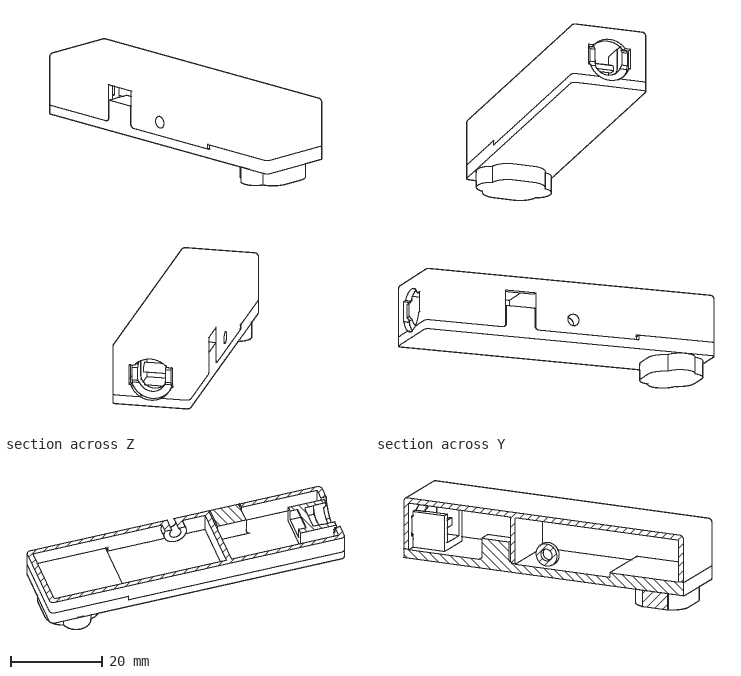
import cadquery as cq

LENGTH = 68.0
WIDTH = 17.5
HEIGHT = 13.9
EDGE_RADIUS = 0.95
WALL = 1.3

BASE_THICKNESS = 2.05
STEP_HEIGHT = 3.05
STEP_X = 50.05
STEP_GAP = 0.6

WINDOW_LEFT = 18.8
WINDOW_RIGHT = 25.85
WINDOW_TOP = 10.4
WINDOW_CORNER_RADIUS = 0.7
TONGUE_GAP = 0.2
TONGUE_TOP = 6.95
TONGUE_DEPTH = 5.45

LIGHT_X = 34.7
LIGHT_Z = 5.1
LIGHT_RADIUS = 1.3
LIGHT_BOSS_DEPTH = 3.4

JACK_Z = 6.2
JACK_OPENING_RADIUS = 4.75
JACK_SLOT_WIDTH = 9.8
JACK_SLOT_BOTTOM = 4.7
JACK_SLOT_TOP = 9.25

HOLDER_WIDTH = 8.8
HOLDER_TOP = 10.2
HOLDER_THICKNESS = 2.25
BORE_RADIUS = 3.1
CRADLE_LENGTH = 5.45
CRADLE_CHANNEL_WIDTH = 6.0
CRADLE_FLOOR = 3.7
CROSSBAR_BOTTOM = 5.9
CROSSBAR_TOP = 7.6
CROSSBAR_SETBACK = 2.05
RIDGE_HEIGHT = 0.6
RIDGE_SLOPE = 0.7
RIDGE_FACE_BOTTOM = 5.6
RIDGE_FACE_TOP = 8.5

FOOT_X = 61.0
FOOT_HEIGHT = 3.75
FOOT_SQUARE = 12.5
FOOT_CORNER_RADIUS = 3.95
FOOT_BAR_LENGTH = 17.15
FOOT_BAR_WIDTH = 6.5

FRONT_Y = -WIDTH / 2
HOLDER_BACK = WALL + HOLDER_THICKNESS


def box(x_min, x_max, y_min, y_max, z_min, z_max):
    """Box given by its limits along each axis."""
    size = (x_max - x_min, y_max - y_min, z_max - z_min)
    return cq.Workplane("XY").box(*size, centered=False).translate((x_min, y_min, z_min))


def centred_box(x_min, x_max, width, z_min, z_max):
    """Box that is symmetric about Y = 0."""
    return box(x_min, x_max, -width / 2, width / 2, z_min, z_max)


def rod_along_x(radius, x_min, x_max):
    """Cylinder on the jack axis."""
    plane = cq.Workplane("YZ", origin=(x_min, 0, JACK_Z))
    return plane.circle(radius).extrude(x_max - x_min)


def rod_into_side(radius, depth):
    """Cylinder on the light-hole axis, going inwards from the -Y face."""
    plane = cq.Workplane("XZ", origin=(0, FRONT_Y, 0))
    return plane.center(LIGHT_X, LIGHT_Z).circle(radius).extrude(-depth)


def case_block():
    """Outer shape of the closed case, before it is parted."""
    block = centred_box(0, LENGTH, WIDTH, 0, HEIGHT).edges("|Z").fillet(EDGE_RADIUS)
    return block.faces(">Z").edges().fillet(EDGE_RADIUS)


def below_parting():
    """Space under the parting face, which rises by a step towards the +X end."""
    low = centred_box(0, LENGTH, WIDTH, 0, BASE_THICKNESS)
    return low.union(centred_box(STEP_X, LENGTH, WIDTH, 0, STEP_HEIGHT))


def step_notch():
    """Small clearance in the -Y wall in front of the parting step."""
    return box(STEP_X - STEP_GAP, STEP_X, FRONT_Y, FRONT_Y + WALL, BASE_THICKNESS, STEP_HEIGHT)


def jack_opening():
    """Round opening through the end wall, widened by a slot at each side."""
    slots = centred_box(0, WALL, JACK_SLOT_WIDTH, JACK_SLOT_BOTTOM, JACK_SLOT_TOP)
    return rod_along_x(JACK_OPENING_RADIUS, 0, WALL).union(slots)


def chamber(x_min, x_max):
    """Hollow inside the cover, open downwards."""
    return centred_box(x_min, x_max, WIDTH - 2 * WALL, 0, HEIGHT - WALL)


def flared_upright(left, right, top, flare_radius, depth):
    """Upright standing on the base plate at the -Y face, its two foot corners flared by arcs."""
    bottom = BASE_THICKNESS
    profile = (
        cq.Workplane("XZ", origin=(0, FRONT_Y, 0))
        .moveTo(left - flare_radius, bottom)
        .radiusArc((left, bottom + flare_radius), -flare_radius)
        .lineTo(left, top)
        .lineTo(right, top)
        .lineTo(right, bottom + flare_radius)
        .radiusArc((right + flare_radius, bottom), -flare_radius)
        .close()
    )
    return profile.extrude(-depth)


def make_cover():
    cover = case_block().cut(below_parting())
    cover = cover.cut(step_notch())
    cover = cover.cut(chamber(WALL, WINDOW_RIGHT))
    cover = cover.cut(chamber(WINDOW_RIGHT + WALL, LENGTH - WALL))
    cover = cover.cut(jack_opening())
    window = flared_upright(WINDOW_LEFT, WINDOW_RIGHT, WINDOW_TOP, WINDOW_CORNER_RADIUS, TONGUE_DEPTH)
    cover = cover.cut(window)
    cover = cover.union(rod_into_side(LIGHT_RADIUS + WALL, LIGHT_BOSS_DEPTH))
    return cover.cut(rod_into_side(LIGHT_RADIUS, LIGHT_BOSS_DEPTH))


def retaining_ridge():
    """Bar across the front of the holder with sloping upper and lower flanks."""
    face_x = WALL - RIDGE_HEIGHT
    profile = cq.Workplane("XZ", origin=(0, HOLDER_WIDTH / 2, 0)).polyline(
        [
            (WALL, RIDGE_FACE_BOTTOM - RIDGE_SLOPE),
            (face_x, RIDGE_FACE_BOTTOM),
            (face_x, RIDGE_FACE_TOP),
            (WALL, RIDGE_FACE_TOP + RIDGE_SLOPE),
        ]
    )
    return profile.close().extrude(HOLDER_WIDTH)


def crossbar():
    """Bar across the cradle with its upper front edge fully rounded."""
    depth = CROSSBAR_TOP - CROSSBAR_BOTTOM
    front_x = HOLDER_BACK + CROSSBAR_SETBACK
    profile = (
        cq.Workplane("XZ", origin=(0, CRADLE_CHANNEL_WIDTH / 2, 0))
        .moveTo(front_x, CROSSBAR_BOTTOM)
        .radiusArc((front_x + depth, CROSSBAR_TOP), depth)
        .lineTo(front_x + depth, CROSSBAR_BOTTOM)
        .close()
    )
    return profile.extrude(CRADLE_CHANNEL_WIDTH)


def jack_holder():
    """Holder with an upward-open U bore, and a channelled cradle behind it."""
    cradle_back = HOLDER_BACK + CRADLE_LENGTH
    holder = centred_box(WALL, cradle_back, HOLDER_WIDTH, BASE_THICKNESS, HOLDER_TOP)
    holder = holder.union(retaining_ridge())
    bore_front = WALL - RIDGE_HEIGHT
    holder = holder.cut(rod_along_x(BORE_RADIUS, bore_front, HOLDER_BACK))
    holder = holder.cut(centred_box(bore_front, HOLDER_BACK, 2 * BORE_RADIUS, JACK_Z, HOLDER_TOP))
    holder = holder.cut(
        centred_box(HOLDER_BACK, cradle_back, CRADLE_CHANNEL_WIDTH, CRADLE_FLOOR, HOLDER_TOP)
    )
    return holder.union(crossbar())


def make_base():
    base = case_block().intersect(below_parting())
    base = base.cut(jack_opening())
    tongue = flared_upright(
        WINDOW_LEFT + TONGUE_GAP,
        WINDOW_RIGHT - TONGUE_GAP,
        TONGUE_TOP,
        WINDOW_CORNER_RADIUS + TONGUE_GAP,
        TONGUE_DEPTH,
    )
    return base.union(tongue).union(jack_holder())


def make_foot():
    square = centred_box(
        FOOT_X - FOOT_SQUARE / 2, FOOT_X + FOOT_SQUARE / 2, FOOT_SQUARE, -FOOT_HEIGHT, 0
    )
    square = square.edges("|Z").fillet(FOOT_CORNER_RADIUS)
    bar = cq.Workplane("XY").center(FOOT_X, 0).slot2D(FOOT_BAR_LENGTH, FOOT_BAR_WIDTH, 90)
    return square.union(bar.extrude(-FOOT_HEIGHT))


cover = make_cover()
base = make_base()
foot = make_foot()

result = cq.Compound.makeCompound([cover.val(), base.val(), foot.val()])